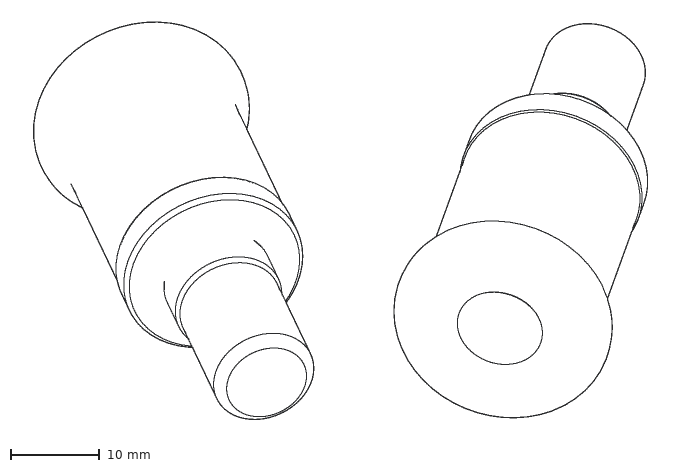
import cadquery as cq
import math

TOTAL_LENGTH = 57.0

KNOB_RADIUS = 20.6 / 2
BEAD_RADIUS = 24.95 / 2
BEAD_TUBE_RADIUS = 4.0
DIMPLE_RADIUS = 4.9
NECK_START = 7.75
NECK_END = 9.7
NECK_RISE = 0.2
BEAD_BACK_X = 6.55
KNOB_END = 30.95

FLANGE_RADIUS = 21.0 / 2
FLANGE_END = 34.95
FLANGE_CHAMFER = 0.5
RELIEF_RADIUS = 12.1 / 2
RELIEF_FILLET = 0.2
RELIEF_END = 35.5
SHOULDER_RADIUS = 12.5 / 2
SHOULDER_START = 36.15
SHOULDER_END = 40.9
PIN_RADIUS = 11.75 / 2
PIN_START = 41.55
PIN_CHAMFER = 1.2


def revolve_about_x(profile):
    """Turn a closed XY half profile into a solid about the X axis."""
    return profile.close().revolve(360, (0, 0, 0), (1, 0, 0))


def make_knob():
    """Grip with a rounded bead, dimpled in the middle, at its free end."""
    tube_center_radius = BEAD_RADIUS - BEAD_TUBE_RADIUS
    floor_offset = tube_center_radius - DIMPLE_RADIUS
    floor_x = BEAD_TUBE_RADIUS - math.sqrt(BEAD_TUBE_RADIUS**2 - floor_offset**2)

    bead_back_height = math.sqrt(BEAD_TUBE_RADIUS**2 - (BEAD_BACK_X - BEAD_TUBE_RADIUS) ** 2)
    bead_back = (BEAD_BACK_X, tube_center_radius + bead_back_height)

    neck_length = NECK_END - NECK_START
    neck_radius = (neck_length**2 + NECK_RISE**2) / (2 * NECK_RISE)
    neck_angle = math.asin(neck_length / neck_radius)
    neck_middle = (
        NECK_END - neck_radius * math.sin(neck_angle / 2),
        KNOB_RADIUS + neck_radius * (1 - math.cos(neck_angle / 2)),
    )
    neck_start = (NECK_START, KNOB_RADIUS + NECK_RISE)
    neck_slope = (math.cos(neck_angle), -math.sin(neck_angle))

    profile = (
        cq.Workplane("XY")
        .moveTo(floor_x, 0)
        .lineTo(floor_x, DIMPLE_RADIUS)
        .threePointArc((0, tube_center_radius), (BEAD_TUBE_RADIUS, BEAD_RADIUS))
        .spline([bead_back, neck_start], tangents=[(1, 0), neck_slope], includeCurrent=True)
        .threePointArc(neck_middle, (NECK_END, KNOB_RADIUS))
        .lineTo(KNOB_END, KNOB_RADIUS)
        .lineTo(KNOB_END, 0)
    )
    return revolve_about_x(profile)


def make_stud():
    """Flange that closes the knob, with a relief, a shoulder and a chamfered pin."""
    flange_edge = FLANGE_RADIUS - KNOB_RADIUS
    profile = (
        cq.Workplane("XY")
        .moveTo(KNOB_END, 0)
        .lineTo(KNOB_END, KNOB_RADIUS)
        .lineTo(KNOB_END + flange_edge, FLANGE_RADIUS)
        .lineTo(FLANGE_END - FLANGE_CHAMFER, FLANGE_RADIUS)
        .lineTo(FLANGE_END, FLANGE_RADIUS - FLANGE_CHAMFER)
        .lineTo(FLANGE_END, RELIEF_RADIUS + RELIEF_FILLET)
        .tangentArcPoint((FLANGE_END + RELIEF_FILLET, RELIEF_RADIUS), relative=False)
        .lineTo(RELIEF_END, RELIEF_RADIUS)
        .lineTo(SHOULDER_START, SHOULDER_RADIUS)
        .lineTo(SHOULDER_END, SHOULDER_RADIUS)
        .lineTo(PIN_START, PIN_RADIUS)
        .lineTo(TOTAL_LENGTH - PIN_CHAMFER, PIN_RADIUS)
        .lineTo(TOTAL_LENGTH, PIN_RADIUS - PIN_CHAMFER)
        .lineTo(TOTAL_LENGTH, 0)
    )
    return revolve_about_x(profile)


knob = make_knob()
stud = make_stud()
result = cq.Compound.makeCompound([knob.val(), stud.val()])